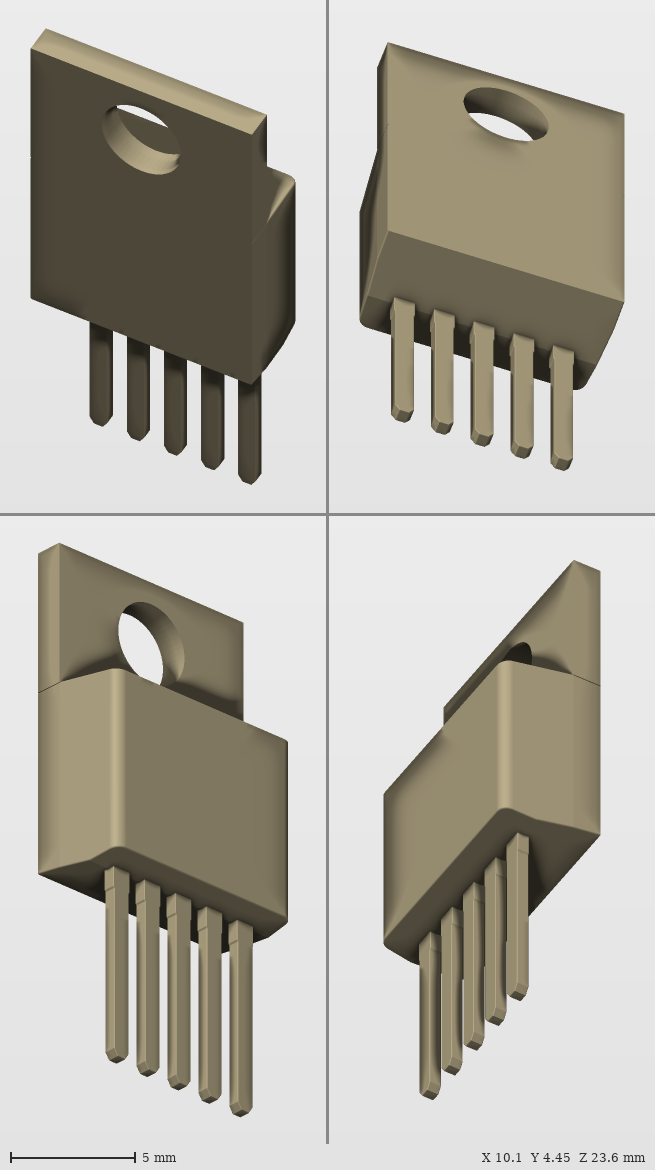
import cadquery as cq
import math

TOTAL_HEIGHT = 23.57
WIDTH = 10.1
DEPTH = 4.45

TAB_THICKNESS = 1.27
TAB_INSET_WIDTH = 8.15
TAB_BOTTOM_Z = 10.98
HOLE_DIAMETER = 3.63
HOLE_DROP = 2.8

HOUSING_TOP_Z = 17.23
HOUSING_BACK_TOP_Z = 16.8
HOUSING_FRONT_BOTTOM_Z = 8.98
HOUSING_LOW_Z = 8.53
HOUSING_BACK_BOTTOM_Z = 8.7
SIDE_DRAFT = 4.7
CORNER_RADIUS = 0.5
LEDGE_DEPTH = 0.15
EDGE_RADIUS = 0.07

LEAD_COUNT = 5
LEAD_PITCH = 1.7
LEAD_CENTRE_Y = 2.9
LEAD_THICKNESS = 0.55
LEAD_WIDTH = 0.8
SHOULDER_WIDTH = 0.9
SHOULDER_BOTTOM_Z = 7.65
SHOULDER_TAPER = 0.07
TIP_WIDTH = 0.4
TIP_HEIGHT = 0.3
LEAD_EDGE_RADIUS = 0.035
LEAD_EMBED = 0.47


def make_tab():
    """Full-width plate with a mounting hole, stepping in to a narrower embedded part."""
    half_width = WIDTH / 2
    half_inset = TAB_INSET_WIDTH / 2
    outline = [
        (-half_width, TOTAL_HEIGHT),
        (half_width, TOTAL_HEIGHT),
        (half_width, HOUSING_TOP_Z),
        (half_inset, HOUSING_TOP_Z),
        (half_inset, TAB_BOTTOM_Z),
        (-half_inset, TAB_BOTTOM_Z),
        (-half_inset, HOUSING_TOP_Z),
        (-half_width, HOUSING_TOP_Z),
    ]
    plate = cq.Workplane("XZ").polyline(outline).close().extrude(-TAB_THICKNESS)
    hole = (
        cq.Workplane("XZ")
        .center(0, TOTAL_HEIGHT - HOLE_DROP)
        .circle(HOLE_DIAMETER / 2)
        .extrude(-TAB_THICKNESS)
    )
    return plate.cut(hole)


def make_housing_block():
    """Side profile cut to a plan outline with drafted sides, rounded except at the front face."""
    side_profile = [
        (0, HOUSING_FRONT_BOTTOM_Z),
        (LEAD_CENTRE_Y, HOUSING_LOW_Z),
        (DEPTH, HOUSING_BACK_BOTTOM_Z),
        (DEPTH, HOUSING_BACK_TOP_Z),
        (TAB_THICKNESS + LEDGE_DEPTH, HOUSING_TOP_Z),
        (0, HOUSING_TOP_Z),
    ]
    profile = cq.Workplane("YZ").polyline(side_profile).close().extrude(WIDTH / 2, both=True)

    half_width = WIDTH / 2
    back_half_width = half_width - (DEPTH - TAB_THICKNESS) * math.tan(math.radians(SIDE_DRAFT))
    plan_outline = [
        (-half_width, 0),
        (half_width, 0),
        (half_width, TAB_THICKNESS),
        (back_half_width, DEPTH),
        (-back_half_width, DEPTH),
        (-half_width, TAB_THICKNESS),
    ]
    plan = (
        cq.Workplane("XY")
        .polyline(plan_outline)
        .close()
        .extrude(TOTAL_HEIGHT)
        .edges("|Z and >Y")
        .fillet(CORNER_RADIUS)
    )
    return profile.intersect(plan).edges("not <Y").fillet(EDGE_RADIUS)


def make_lead(centre_x):
    """Flat lead with a wider shoulder below the housing and a tapered tip."""
    top_z = HOUSING_LOW_Z + LEAD_EMBED
    right_side = [
        (TIP_WIDTH / 2, 0),
        (LEAD_WIDTH / 2, TIP_HEIGHT),
        (LEAD_WIDTH / 2, SHOULDER_BOTTOM_Z - SHOULDER_TAPER),
        (SHOULDER_WIDTH / 2, SHOULDER_BOTTOM_Z),
        (SHOULDER_WIDTH / 2, top_z),
    ]
    left_side = [(-x, z) for x, z in reversed(right_side)]
    return (
        cq.Workplane("XZ", origin=(centre_x, LEAD_CENTRE_Y, 0))
        .polyline(right_side + left_side)
        .close()
        .extrude(LEAD_THICKNESS / 2, both=True)
        .faces("<Y or >Y")
        .edges()
        .fillet(LEAD_EDGE_RADIUS)
    )


def make_housing(tab_plate):
    """Housing with its row of leads in one solid, recessed to fit the tab."""
    body = make_housing_block().cut(tab_plate)
    for index in range(LEAD_COUNT):
        centre_x = (index - (LEAD_COUNT - 1) / 2) * LEAD_PITCH
        body = body.union(make_lead(centre_x))
    return body


tab = make_tab()
housing = make_housing(tab)

result = cq.Compound.makeCompound([tab.val(), housing.val()])